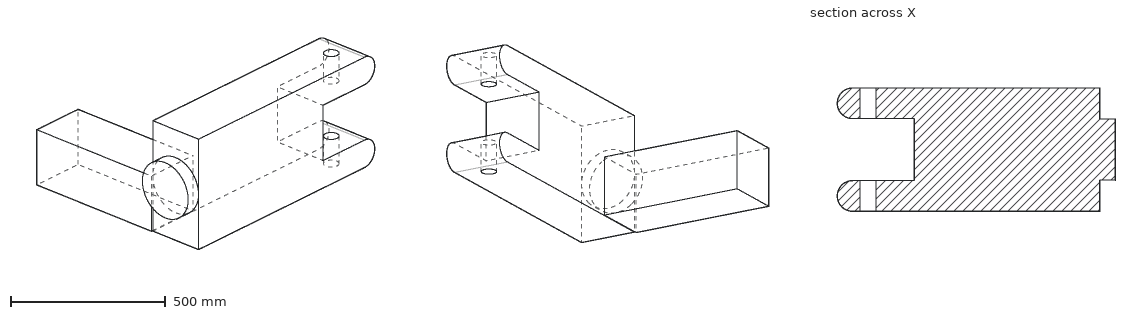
import cadquery as cq

section = 200.0
total_length = 900.0
disc_thickness = section / 4
slot_depth = 249.0
hole_diameter = 50.0
block_length = 500.0
block_gap = 6.0
block_drop = 3.0

fork_height = 2 * section
fork_length = total_length - disc_thickness
prong_height = section / 2
prong_radius = prong_height / 2
hole_setback = section / 2


def make_fork():
    """Two-pronged arm with round prong tips, pin holes and an end disc."""
    tip_start = fork_length - prong_radius
    slot_floor = fork_length - slot_depth
    slot_top = fork_height - prong_height

    arm = (
        cq.Workplane("YZ")
        .moveTo(0, 0)
        .lineTo(tip_start, 0)
        .threePointArc((fork_length, prong_radius), (tip_start, prong_height))
        .lineTo(slot_floor, prong_height)
        .lineTo(slot_floor, slot_top)
        .lineTo(tip_start, slot_top)
        .threePointArc((fork_length, fork_height - prong_radius), (tip_start, fork_height))
        .lineTo(0, fork_height)
        .close()
        .extrude(section)
    )

    pin_hole = (
        cq.Workplane("XY")
        .center(section / 2, fork_length - hole_setback)
        .circle(hole_diameter / 2)
        .extrude(fork_height)
    )

    disc = (
        cq.Workplane("XZ")
        .center(section / 2, fork_height / 2)
        .circle(section / 2)
        .extrude(disc_thickness)
    )
    return arm.cut(pin_hole).union(disc)


def make_block():
    """Plain square bar beside the fork, on its -X side, with its front flush with the fork front."""
    corner = (-block_gap - block_length, 0, -block_drop)
    return cq.Workplane("XY").box(block_length, section, section, centered=False).translate(corner)


fork = make_fork()
block = make_block()

result = cq.Compound.makeCompound([fork.val(), block.val()])